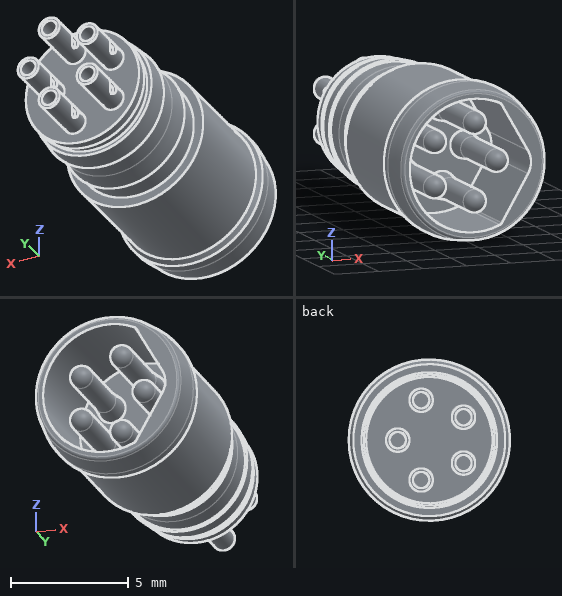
import cadquery as cq
import math

collar_taper_end = 1.25
collar_land_end = 1.75
body_start = 2.0
shoulder_y = 7.1
barb_length = 1.0
barb_tops = (8.2, 10.2)
groove_start = 11.2
flange_start = 11.7
flange_end = 12.2
tail_end = 14.7

collar_radius = 6.9 / 2
body_radius = 6.5 / 2
barb_root_radius = 5.6 / 2
barb_tip_radius = 5.8 / 2
groove_radius = 5.2 / 2
flange_radius = 5.4 / 2
rim_fillet = 0.15

socket_radius = 5.8 / 2
socket_depth = 5.0
key_flat_distance = 2.39
key_flat_angle = 30.0
key_corner_radius = 1.0
key_blend_radius = 0.2

pin_radius = 1.0 / 2
pin_tip_y = 0.4
pin_root_radius = 1.22 / 2
pin_root_length = 1.0
cup_radius = 1.0 / 2
cup_bore_radius = 0.7 / 2
cup_bore_depth = 2.0
vent_radius = 0.6 / 2
vent_y = 13.2
contact_positions = (
    (1.35, 0),
    (0.35, 1.705),
    (0.35, -1.705),
    (-1.46, 0.98),
    (-1.46, -0.98),
)


def rod(x, z, radius, y_start, y_end):
    """Cylinder parallel to Y."""
    base = cq.Vector(x, y_start, z)
    return cq.Workplane(cq.Solid.makeCylinder(radius, y_end - y_start, base, cq.Vector(0, 1, 0)))


def make_housing():
    """Revolved body with front collar, two cable barbs, groove and rear flange."""
    profile = (
        cq.Workplane("XY")
        .lineTo(body_radius, 0)
        .lineTo(collar_radius, collar_taper_end)
        .lineTo(collar_radius, collar_land_end)
        .lineTo(body_radius, body_start)
        .lineTo(body_radius, shoulder_y)
        .lineTo(barb_root_radius, shoulder_y)
    )
    for barb_top in barb_tops:
        profile = (
            profile.lineTo(barb_root_radius, barb_top)
            .lineTo(barb_tip_radius, barb_top)
            .lineTo(barb_root_radius, barb_top + barb_length)
        )
    profile = (
        profile.lineTo(groove_radius, groove_start)
        .lineTo(groove_radius, flange_start)
        .lineTo(flange_radius, flange_start)
        .lineTo(flange_radius, flange_end)
        .lineTo(0, flange_end)
        .close()
    )
    housing = profile.revolve(360, (0, 0, 0), (0, 1, 0))
    return housing.faces("<Y").edges().fillet(rim_fillet)


def make_socket():
    """Round cavity whose +X side is closed by two flats meeting in a rounded corner."""
    flat_angle = math.radians(key_flat_angle)
    apex_x = key_flat_distance / math.cos(flat_angle)
    wedge_x = -2 * socket_radius
    wedge_z = (apex_x - wedge_x) / math.tan(flat_angle)
    wedge = (
        cq.Workplane("XZ")
        .moveTo(apex_x, 0)
        .lineTo(wedge_x, wedge_z)
        .lineTo(wedge_x, -wedge_z)
        .close()
        .extrude(-socket_depth)
        .edges(">X")
        .fillet(key_corner_radius)
    )
    socket = rod(0, 0, socket_radius, 0, socket_depth).intersect(wedge)

    meeting_angle = flat_angle + math.acos(key_flat_distance / socket_radius)
    meeting_x = socket_radius * math.cos(meeting_angle)
    meeting_z = socket_radius * math.sin(meeting_angle)
    for side in (1, -1):
        meeting_point = (meeting_x, socket_depth / 2, side * meeting_z)
        socket = socket.edges(cq.NearestToPointSelector(meeting_point)).fillet(key_blend_radius)
    return socket


def make_pin(x, z):
    """Contact pin with a hemispherical tip and a conical root at the socket floor."""
    dome_y = pin_tip_y + pin_radius
    dome_mid = pin_radius * math.sqrt(0.5)
    pin = (
        cq.Workplane("XY")
        .moveTo(0, pin_tip_y)
        .threePointArc((dome_mid, dome_y - dome_mid), (pin_radius, dome_y))
        .lineTo(pin_radius, socket_depth - pin_root_length)
        .lineTo(pin_root_radius, socket_depth)
        .lineTo(0, socket_depth)
        .close()
        .revolve(360, (0, 0, 0), (0, 1, 0))
    )
    return pin.translate((x, 0, z))


def make_solder_cup(x, z):
    """Hollow tail with a vent hole through its -X wall."""
    cup = rod(x, z, cup_radius, flange_end, tail_end)
    bore = rod(x, z, cup_bore_radius, tail_end - cup_bore_depth, tail_end)
    vent_start = cq.Vector(x, vent_y, z)
    vent = cq.Workplane(cq.Solid.makeCylinder(vent_radius, cup_radius, vent_start, cq.Vector(-1, 0, 0)))
    return cup.cut(bore).cut(vent)


result = make_housing().cut(make_socket())
for contact_x, contact_z in contact_positions:
    result = result.union(make_pin(contact_x, contact_z))
    result = result.union(make_solder_cup(contact_x, contact_z))